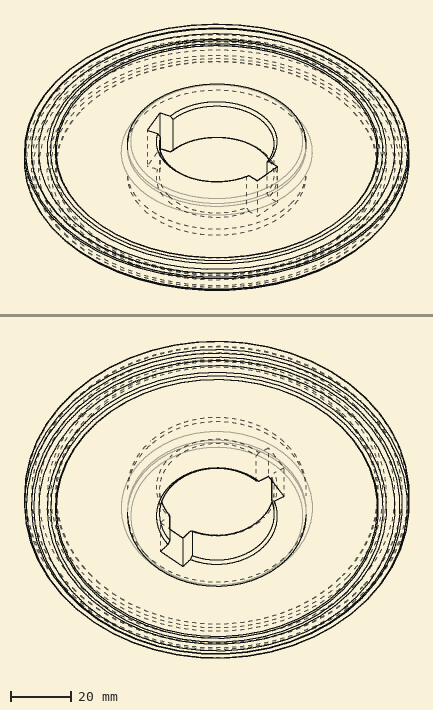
import cadquery as cq
import math

hub_height = 15.9
hub_radius = 59.5 / 2
hub_edge_radius = 1.2
hub_root_radius = 2.0
bore_radius = 19.0
bore_chamfer = 1.0

keyway_reach = 23.3
keyway_width = 9.7
keyway_angles = (0, 198)

web_half_thickness = 3.5
bead_half_thickness = 4.0
bead_foot_radius = 53.3
bead_inner_radius = 53.7
bead_outer_radius = 55.2
shoulder_radius = 56.4
shoulder_half_thickness = 3.6
disc_radius = 59.2

rim_radius = 63.9
rim_step_radius = 123.3 / 2
rim_top = bead_half_thickness
rim_bottom = -2.2
rim_bevel_radius = 60.9
rim_bevel_height = -3.0
rim_top_chamfer = 0.4
rim_bottom_chamfer_width = 0.6
rim_bottom_chamfer_height = 1.2

hub_half = hub_height / 2
arc_45 = math.sqrt(0.5)


def revolve_profile(profile):
    """Turn a closed radius-height outline about the Z axis."""
    return profile.close().revolve(360, (0, 0, 0), (0, 1, 0))


def make_half_disc(side):
    """Half of the disc out to the rim seat; side is +1 for the upper half, -1 for the lower."""
    edge_center_radius = hub_radius - hub_edge_radius
    edge_center_height = hub_half - hub_edge_radius
    root_center_radius = hub_radius + hub_root_radius
    root_center_height = web_half_thickness + hub_root_radius
    edge_offset = hub_edge_radius * arc_45
    root_offset = hub_root_radius * arc_45
    profile = (
        cq.Workplane("XZ")
        .moveTo(0, 0)
        .lineTo(0, side * hub_half)
        .lineTo(edge_center_radius, side * hub_half)
        .threePointArc(
            (edge_center_radius + edge_offset, side * (edge_center_height + edge_offset)),
            (hub_radius, side * edge_center_height),
        )
        .lineTo(hub_radius, side * root_center_height)
        .threePointArc(
            (root_center_radius - root_offset, side * (root_center_height - root_offset)),
            (root_center_radius, side * web_half_thickness),
        )
        .lineTo(bead_foot_radius, side * web_half_thickness)
        .lineTo(bead_inner_radius, side * bead_half_thickness)
        .lineTo(bead_outer_radius, side * bead_half_thickness)
        .lineTo(shoulder_radius, side * shoulder_half_thickness)
        .lineTo(disc_radius, side * shoulder_half_thickness)
        .lineTo(disc_radius, 0)
    )
    return revolve_profile(profile)


def make_bore():
    """Through bore, widened by a chamfer at each end."""
    mouth_radius = bore_radius + bore_chamfer
    chamfer_start = hub_half - bore_chamfer
    profile = (
        cq.Workplane("XZ")
        .moveTo(0, -hub_half)
        .lineTo(mouth_radius, -hub_half)
        .lineTo(bore_radius, -chamfer_start)
        .lineTo(bore_radius, chamfer_start)
        .lineTo(mouth_radius, hub_half)
        .lineTo(0, hub_half)
    )
    return revolve_profile(profile)


def make_keyway(angle):
    """Through slot from the axis to the keyway floor."""
    slot = cq.Workplane("XY").box(keyway_reach, keyway_width, hub_height, centered=(False, True, True))
    return slot.rotate((0, 0, 0), (0, 0, 1), angle)


def make_disc():
    disc = make_half_disc(1).union(make_half_disc(-1)).cut(make_bore())
    for angle in keyway_angles:
        disc = disc.cut(make_keyway(angle))
    return disc


def make_rim():
    """Ring with a raised outer band on top and a two-slope bevel underneath, flush with the disc."""
    profile = (
        cq.Workplane("XZ")
        .moveTo(disc_radius, -shoulder_half_thickness)
        .lineTo(rim_bevel_radius, rim_bevel_height)
        .lineTo(rim_step_radius, rim_bottom)
        .lineTo(rim_radius - rim_bottom_chamfer_width, rim_bottom)
        .lineTo(rim_radius, rim_bottom + rim_bottom_chamfer_height)
        .lineTo(rim_radius, rim_top - rim_top_chamfer)
        .lineTo(rim_radius - rim_top_chamfer, rim_top)
        .lineTo(rim_step_radius, rim_top)
        .lineTo(rim_step_radius, shoulder_half_thickness)
        .lineTo(disc_radius, shoulder_half_thickness)
    )
    return revolve_profile(profile)


disc = make_disc()
rim = make_rim()

result = cq.Compound.makeCompound([disc.val(), rim.val()])